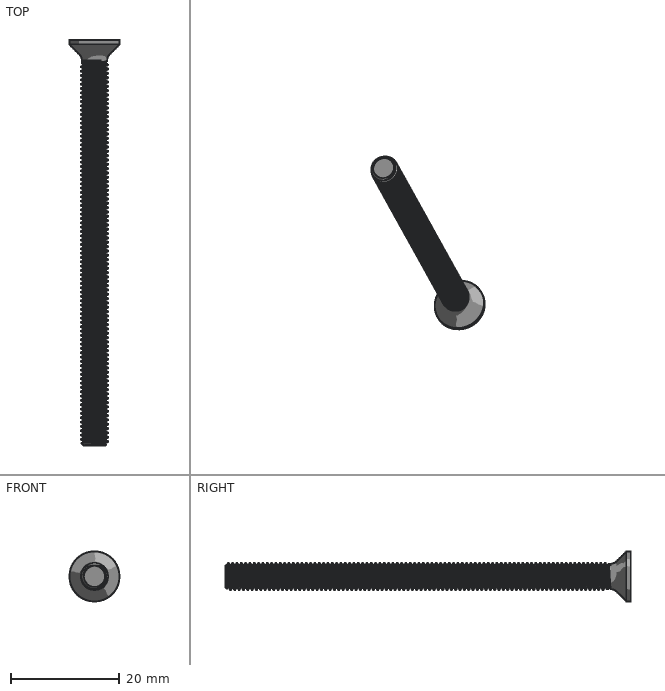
import cadquery as cq
import math

total_length = 75.0
head_diameter = 9.3
head_rim_height = 0.8
head_cone_angle = 90
neck_diameter = 4.7
fillet_radius = 1.6
thread_diameter = 5.0
root_diameter = 4.1
tip_diameter = 3.9
thread_turns = 89
thread_angle = 60
envelope_clearance = 0.15

head_radius = head_diameter / 2
neck_radius = neck_diameter / 2
thread_radius = thread_diameter / 2
root_radius = root_diameter / 2
tip_radius = tip_diameter / 2

cone_half_angle = math.radians(head_cone_angle / 2)
cone_end = head_rim_height + (head_radius - neck_radius) / math.tan(cone_half_angle)
tangent_length = fillet_radius * math.tan(cone_half_angle / 2)
neck_start = cone_end + tangent_length

pitch = (total_length - neck_start) / thread_turns
crest_width = pitch / 8
flank_width = (thread_radius - root_radius) * math.tan(math.radians(thread_angle / 2))
runout_end = neck_start + pitch



def make_head():
    """Countersunk head with a short rim, a cone and a fillet down to the neck."""
    cone_tangent = (
        neck_radius + tangent_length * math.sin(cone_half_angle),
        cone_end - tangent_length * math.cos(cone_half_angle),
    )
    arc_middle = (
        neck_radius + fillet_radius * (1 - math.cos(cone_half_angle / 2)),
        neck_start - fillet_radius * math.sin(cone_half_angle / 2),
    )
    profile = (
        cq.Workplane("XZ")
        .lineTo(head_radius, 0)
        .lineTo(head_radius, head_rim_height)
        .lineTo(*cone_tangent)
        .threePointArc(arc_middle, (neck_radius, neck_start))
        .lineTo(0, neck_start)
        .close()
    )
    return profile.revolve(360, (0, 0), (0, 1))


def helix_turn(radius, height):
    """One right-hand turn of the thread helix, starting on the +X side at the given height."""
    return cq.Wire.makeHelix(pitch, pitch, radius).translate(cq.Vector(0, 0, height)).Edges()[0]


def make_threaded_rod():
    """Solid rod whose skin is one turn of thread, repeated along the axis.

    It runs past both ends of the thread, so that its ends can be trimmed flat.
    """
    overrun_turns = 2
    turns = thread_turns + 2 * overrun_turns
    first_crest = neck_start - overrun_turns * pitch

    groove_edge = crest_width / 2 + flank_width
    outline = [
        (root_radius, first_crest - groove_edge),
        (thread_radius, first_crest - crest_width / 2),
        (thread_radius, first_crest + crest_width / 2),
        (root_radius, first_crest + groove_edge),
        (root_radius, first_crest + pitch - groove_edge),
    ]
    helices = [helix_turn(radius, height) for radius, height in outline]
    strips = [cq.Face.makeRuledSurface(low, high) for low, high in zip(helices, helices[1:])]
    faces = [strip.translate(cq.Vector(0, 0, turn * pitch)) for turn in range(turns) for strip in strips]

    axis_start = (0, outline[0][1])
    axis_end = (0, outline[-1][1])
    step_corners = [cq.Vector(radius, 0, height) for radius, height in [axis_start, *outline, axis_end]]
    step = cq.Face.makeFromWires(cq.Wire.makePolygon(step_corners, close=True))
    axis = cq.Edge.makeLine(step_corners[0], step_corners[-1])
    helicoid = cq.Face.makeRuledSurface(axis, helices[0])
    for cap in (helicoid, step):
        faces += [cap, cap.translate(cq.Vector(0, 0, turns * pitch))]
    return cq.Workplane(obj=cq.Solid.makeSolid(cq.Shell.makeShell(faces)))


def make_thread_envelope():
    """Space the thread may fill: low crests along the run-out and a chamfered tip."""
    outer_radius = thread_radius + envelope_clearance
    profile = (
        cq.Workplane("XZ")
        .moveTo(0, neck_start)
        .lineTo(neck_radius, neck_start)
        .lineTo(neck_radius, runout_end)
        .lineTo(outer_radius, runout_end)
        .lineTo(outer_radius, total_length - (outer_radius - tip_radius))
        .lineTo(tip_radius, total_length)
        .lineTo(0, total_length)
        .close()
    )
    return profile.revolve(360, (0, 0), (0, 1))


threaded_shank = make_threaded_rod().intersect(make_thread_envelope())
screw = make_head().union(threaded_shank)
result = screw.rotate((0, 0, 0), (1, 0, 0), 90).solids()